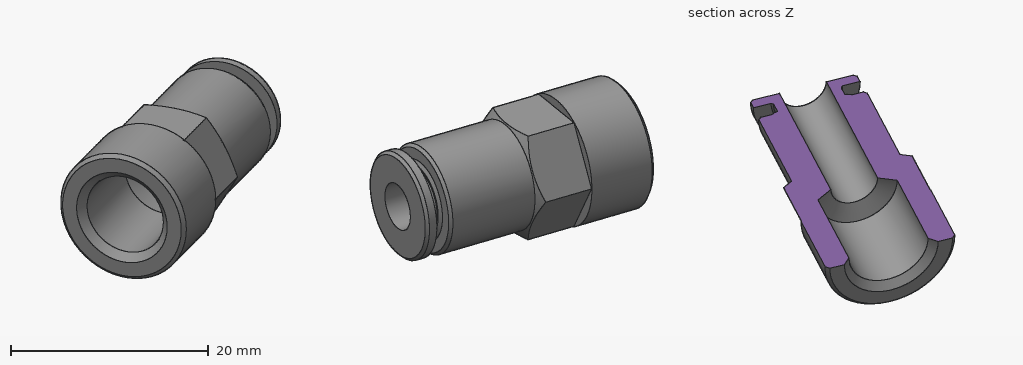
import cadquery as cq
import math

LENGTH = 26.2
FRONT = -LENGTH / 2
BACK = LENGTH / 2

COLLAR_DIAMETER = 14.0
COLLAR_LENGTH = 7.5
COLLAR_CHAMFER = 0.4

HEX_LENGTH = 6.03
HEX_ACROSS_FLATS = 12.0
HEX_CORNER_RADIUS = HEX_ACROSS_FLATS / math.sqrt(3)
HEX_CHAMFER_ANGLE = math.radians(30)

BODY_DIAMETER = 11.7
BODY_LENGTH = 9.98
BODY_CHAMFER = 0.31
RIM_BASE_DIAMETER = 8.65
RIM_TOP_DIAMETER = 7.73
RIM_HEIGHT = 0.24

NECK_DIAMETER = 7.3
CAP_DIAMETER = 11.5
CAP_THICKNESS = 1.18
CAP_CHAMFER = 0.31
CAP_CONE_BASE_DIAMETER = 7.7
CAP_CONE_HEIGHT = 0.18

COUNTERSINK_DIAMETER = 10.1
BORE_DIAMETER = 8.5
BORE_DEPTH = 9.95
BORE_END_ANGLE = math.radians(30)
PASSAGE_DIAMETER = 5.0

HEX_START = FRONT + COLLAR_LENGTH
HEX_END = HEX_START + HEX_LENGTH
BODY_END = HEX_END + BODY_LENGTH
CAP_START = BACK - CAP_THICKNESS


def revolve_about_y(outline):
    """Revolve a closed outline of (radius, y) points about the Y axis."""
    return cq.Workplane("XY").polyline(outline).close().revolve(360, (0, 0, 0), (0, 1, 0))


def disc(start, end, diameter, front_chamfer=0, back_chamfer=0):
    """Cylinder along Y with an optional 45 degree chamfer at either end."""
    radius = diameter / 2
    outline = [(0, start), (radius - front_chamfer, start)]
    if front_chamfer:
        outline.append((radius, start + front_chamfer))
    if back_chamfer:
        outline.append((radius, end - back_chamfer))
    outline += [(radius - back_chamfer, end), (0, end)]
    return revolve_about_y(outline)


def cone(start, end, start_diameter, end_diameter):
    """Truncated cone along Y."""
    return revolve_about_y([(0, start), (start_diameter / 2, start), (end_diameter / 2, end), (0, end)])


def hexagon():
    """Hexagon with corners on X, its rear corners turned to a cone that starts at the body."""
    prism = (
        cq.Workplane("XZ", origin=(0, HEX_END, 0))
        .polygon(6, 2 * HEX_CORNER_RADIUS)
        .extrude(HEX_LENGTH)
    )
    envelope_radius = COLLAR_DIAMETER / 2
    chamfer_drop = (envelope_radius - BODY_DIAMETER / 2) * math.tan(HEX_CHAMFER_ANGLE)
    envelope = revolve_about_y([
        (0, HEX_START),
        (envelope_radius, HEX_START),
        (envelope_radius, HEX_END - chamfer_drop),
        (BODY_DIAMETER / 2, HEX_END),
        (0, HEX_END),
    ])
    return prism.intersect(envelope)


def stepped_bore():
    """Countersunk front bore with a conical bottom, opening into a through passage."""
    bore_radius = BORE_DIAMETER / 2
    passage_radius = PASSAGE_DIAMETER / 2
    countersink_depth = (COUNTERSINK_DIAMETER - BORE_DIAMETER) / 2
    bore_end = FRONT + BORE_DEPTH
    cone_depth = (bore_radius - passage_radius) * math.tan(BORE_END_ANGLE)
    return revolve_about_y([
        (0, FRONT),
        (COUNTERSINK_DIAMETER / 2, FRONT),
        (bore_radius, FRONT + countersink_depth),
        (bore_radius, bore_end),
        (passage_radius, bore_end + cone_depth),
        (passage_radius, BACK),
        (0, BACK),
    ])


collar = disc(FRONT, HEX_START, COLLAR_DIAMETER, front_chamfer=COLLAR_CHAMFER)
body = disc(HEX_END, BODY_END, BODY_DIAMETER, back_chamfer=BODY_CHAMFER)
rim = cone(BODY_END, BODY_END + RIM_HEIGHT, RIM_BASE_DIAMETER, RIM_TOP_DIAMETER)
neck = disc(BODY_END, CAP_START, NECK_DIAMETER)
cap_cone = cone(CAP_START - CAP_CONE_HEIGHT, CAP_START, NECK_DIAMETER, CAP_CONE_BASE_DIAMETER)
cap = disc(CAP_START, BACK, CAP_DIAMETER, back_chamfer=CAP_CHAMFER)

result = collar
for section in (hexagon(), body, rim, neck, cap_cone, cap):
    result = result.union(section)
result = result.cut(stepped_bore())